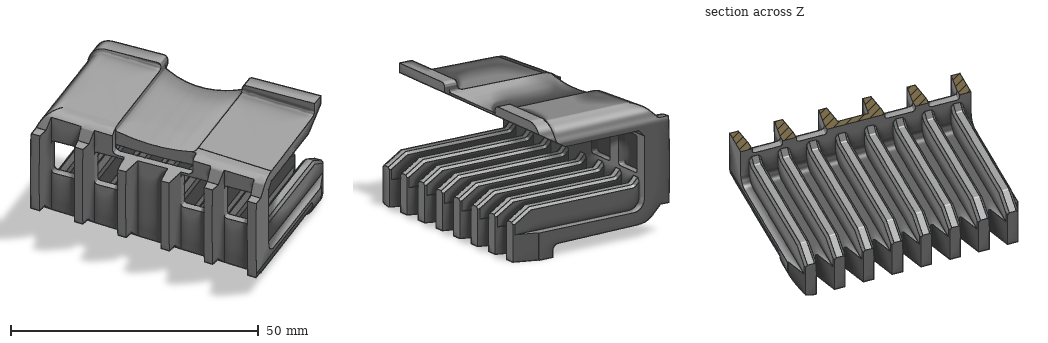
import cadquery as cq
import math

WIDTH = 50.0
DEPTH = 37.1
HEIGHT = 28.45
MID_X = WIDTH / 2
MID_Z = HEIGHT / 2
OVER = 2.5

WALL_OUTER_Y = 4.6
WALL_INNER_Y = 6.2
PLATE_TOP_Z = 5.8
PLATE_FILLET = 2.6
JAW_UNDER_Z = 22.95
JAW_CHAMFER = 1.35
LIP_BACK_Y = 28.65
LIP_TIP_Y = 31.7
LIP_TIP_Z = 26.45
LIP_ANGLE = math.radians(30)
CROWN_RISE = 0.45
EDGE_RADIUS = 4.0

SKIN_RADIUS = 4.15
SKIN_LEFT_X = SKIN_RADIUS
SKIN_LIP_Z = (27.7, 25.7)
SKIN_BACK_Z = (27.85, 25.35)
SKIN_FILLET = 1.3
BACK_CORNER_Y = (5.85, 5.55)
BACK_TANGENT = 2.0
RIB_TOP_Z = (24.8, 22.05)

BACK_RIB_COUNT = 6
BACK_RIB_INSET = 1.05
BACK_RIB_PITCH = (WIDTH - 2 * BACK_RIB_INSET) / (BACK_RIB_COUNT - 1)
BACK_RIB_ROOT = 3.0
BACK_RIB_TIP = 1.8
WINDOW_BOTTOM_Z = 13.05
WINDOW_TOP_Z = 21.0
WINDOW_RADIUS = 0.65
WINDOW_GAPS = (0, 1, 3, 4)

SCOOP_WIDTH = 17.85
SCOOP_EDGE_Z = 26.1
SCOOP_MID_Z = 25.15
SCOOP_FILLET = 0.65
SCOOP_BELLY = 0.35
LIP_END_RADIUS = 1.0
NOSE_SIDE_Y = 30.5
NOSE_MID_Y = 28.65
NOTCH_BOTTOM_Z = 21.55
NOTCH_FILLET = 1.25

TOOTH_COUNT = 8
TOOTH_PITCH = WIDTH / TOOTH_COUNT
TOOTH_TIP_WIDTH = 2.3
TOOTH_ROOT_Y = 32.0
TOOTH_ROOT_GAP = 0.4
JAW_RIB_WIDTH = 2.6
JAW_RIB_TOP_Z = 10.9
JAW_RIB_CHAMFER = 0.55
JAW_RIB_BEND = 0.85
JAW_RIB_NOSE_Y = 32.9
JAW_RIB_NOSE_Z = 8.4

ARC_MID = 1 - math.sqrt(0.5)
LEAD_IN_END_Y = LIP_TIP_Y - (LIP_TIP_Z - JAW_UNDER_Z) / math.tan(LIP_ANGLE)
SCOOP_LEFT_X = MID_X - SCOOP_WIDTH / 2
SCOOP_RIGHT_X = MID_X + SCOOP_WIDTH / 2


def half_turn(solid):
    """Copy turned 180 degrees about the front-to-back centre line."""
    return solid.rotate((MID_X, 0, MID_Z), (MID_X, 1, MID_Z), 180)


def yz_plane(x):
    """Workplane in Y and Z at the given x."""
    return cq.Workplane("YZ", origin=(x, 0, 0))


def prism_along_y(outline, start_y, end_y):
    """Extrude a closed XZ outline from start_y to end_y."""
    return outline.extrude(end_y - start_y).translate((0, end_y, 0))


def line_through(x, first, second):
    """Value at x on the line through two (x, value) points."""
    slope = (second[1] - first[1]) / (second[0] - first[0])
    return first[1] + slope * (x - first[0])


def make_body():
    """C-shaped block with crowned back and two opposite rounded edges."""
    fillet_mid = PLATE_FILLET * ARC_MID
    profile = (
        yz_plane(0)
        .moveTo(CROWN_RISE, 0)
        .lineTo(DEPTH, 0)
        .lineTo(DEPTH, PLATE_TOP_Z)
        .lineTo(WALL_INNER_Y + PLATE_FILLET, PLATE_TOP_Z)
        .threePointArc(
            (WALL_INNER_Y + fillet_mid, PLATE_TOP_Z + fillet_mid),
            (WALL_INNER_Y, PLATE_TOP_Z + PLATE_FILLET),
        )
        .lineTo(WALL_INNER_Y, JAW_UNDER_Z - JAW_CHAMFER)
        .lineTo(WALL_INNER_Y + JAW_CHAMFER, JAW_UNDER_Z)
        .lineTo(LEAD_IN_END_Y, JAW_UNDER_Z)
        .lineTo(LIP_TIP_Y, LIP_TIP_Z)
        .lineTo(LIP_TIP_Y, HEIGHT)
        .lineTo(CROWN_RISE, HEIGHT)
        .threePointArc((0, MID_Z), (CROWN_RISE, 0))
        .close()
        .extrude(WIDTH)
    )
    rounded = (
        cq.Workplane("XY")
        .box(WIDTH, DEPTH, HEIGHT, centered=False)
        .edges("(<X and >Z) or (>X and <Z)")
        .fillet(EDGE_RADIUS)
    )
    return profile.intersect(rounded)


def skin_section(x, lip_z, back_z, corner_y):
    """Closed YZ wire around the space above the skin, from the lip fillet past the back."""
    flat_end_y = LIP_BACK_Y - SKIN_FILLET
    back_z = line_through(-OVER, (flat_end_y, lip_z), (corner_y, back_z))
    fillet_mid = SKIN_FILLET * ARC_MID
    top_z = HEIGHT + OVER
    return (
        yz_plane(x)
        .moveTo(-OVER, back_z)
        .lineTo(flat_end_y, lip_z)
        .threePointArc(
            (LIP_BACK_Y - fillet_mid, lip_z + fillet_mid),
            (LIP_BACK_Y, lip_z + SKIN_FILLET),
        )
        .lineTo(LIP_BACK_Y, top_z)
        .lineTo(-OVER, top_z)
        .close()
    )


def ruled_loft(first, second):
    """Straight-sided solid between two section wires."""
    wires = [first.wire().val(), second.wire().val()]
    return cq.Workplane(cq.Solid.makeLoft(wires, True))


def make_skin_cutters():
    """Space above the flat skin and around its rounded left edge."""
    left = (SKIN_LEFT_X, SKIN_LIP_Z[0], SKIN_BACK_Z[0], BACK_CORNER_Y[0])
    right = (WIDTH, SKIN_LIP_Z[1], SKIN_BACK_Z[1], BACK_CORNER_Y[1])
    flat = ruled_loft(skin_section(*left), skin_section(*right))
    edge = skin_section(*left).revolve(
        90,
        (LIP_BACK_Y - SKIN_FILLET, SKIN_LIP_Z[0] - SKIN_RADIUS),
        (BACK_CORNER_Y[0], SKIN_BACK_Z[0] - SKIN_RADIUS),
    )
    return flat, edge


def back_corner_section(x, corner_y, rib_z):
    """Closed YZ wire around the space outside the rounded, chamfered back corner."""
    skin_z = line_through(x, (SKIN_LEFT_X, SKIN_BACK_Z[0]), (WIDTH, SKIN_BACK_Z[1]))
    half_bend = math.pi / 8
    radius = BACK_TANGENT / math.tan(half_bend)
    start_y = corner_y + BACK_TANGENT
    leg = BACK_TANGENT * math.sqrt(0.5)
    arc_mid = (
        start_y - radius * math.sin(half_bend),
        skin_z - radius * (1 - math.cos(half_bend)),
    )
    top_z = HEIGHT + OVER
    return (
        yz_plane(x)
        .moveTo(start_y, skin_z)
        .threePointArc(arc_mid, (corner_y - leg, skin_z - leg))
        .lineTo(corner_y - (skin_z - rib_z), rib_z)
        .lineTo(-OVER, rib_z)
        .lineTo(-OVER, top_z)
        .lineTo(start_y, top_z)
        .close()
    )


def shape_outside(body):
    """Cut both sloping skins and both back corners."""
    flat, edge = make_skin_cutters()
    corner = ruled_loft(
        back_corner_section(0, BACK_CORNER_Y[0], RIB_TOP_Z[0]),
        back_corner_section(WIDTH, BACK_CORNER_Y[1], RIB_TOP_Z[1]),
    )
    for cutter in (flat, edge, corner):
        body = body.cut(cutter).cut(half_turn(cutter))
    return body


def back_rib_x(index):
    """Centre of a back rib across the width."""
    return BACK_RIB_INSET + index * BACK_RIB_PITCH


def cut_back_gaps(body):
    """Tapered gaps that leave the back ribs, some with a window through the wall."""
    gap_root = BACK_RIB_PITCH - BACK_RIB_ROOT
    gap_mouth = BACK_RIB_PITCH - BACK_RIB_TIP
    for index in range(BACK_RIB_COUNT - 1):
        gap_x = back_rib_x(index) + BACK_RIB_PITCH / 2
        gap = (
            cq.Workplane("XY")
            .polyline([
                (gap_x - gap_mouth / 2, 0),
                (gap_x + gap_mouth / 2, 0),
                (gap_x + gap_root / 2, WALL_OUTER_Y),
                (gap_x - gap_root / 2, WALL_OUTER_Y),
            ])
            .close()
            .extrude(HEIGHT)
        )
        body = body.cut(gap)
        if index in WINDOW_GAPS:
            window = (
                cq.Workplane("XY")
                .box(gap_root, WALL_INNER_Y, WINDOW_TOP_Z - WINDOW_BOTTOM_Z)
                .edges("|Y")
                .fillet(WINDOW_RADIUS)
                .translate((gap_x, WALL_INNER_Y / 2, (WINDOW_BOTTOM_Z + WINDOW_TOP_Z) / 2))
            )
            body = body.cut(window)
    return body


def cut_scoop(body):
    """Shallow cylindrical scoop through the upper jaw and lip, with a blunt curved front edge."""
    top_z = HEIGHT + OVER
    fillet_mid = SCOOP_FILLET * ARC_MID
    outline = (
        cq.Workplane("XZ")
        .moveTo(SCOOP_LEFT_X, top_z)
        .lineTo(SCOOP_LEFT_X, SCOOP_EDGE_Z + SCOOP_FILLET)
        .threePointArc(
            (SCOOP_LEFT_X + fillet_mid, SCOOP_EDGE_Z + fillet_mid),
            (SCOOP_LEFT_X + SCOOP_FILLET, SCOOP_EDGE_Z),
        )
        .threePointArc((MID_X, SCOOP_MID_Z), (SCOOP_RIGHT_X - SCOOP_FILLET, SCOOP_EDGE_Z))
        .threePointArc(
            (SCOOP_RIGHT_X - fillet_mid, SCOOP_EDGE_Z + fillet_mid),
            (SCOOP_RIGHT_X, SCOOP_EDGE_Z + SCOOP_FILLET),
        )
        .lineTo(SCOOP_RIGHT_X, top_z)
        .close()
    )
    body = body.cut(prism_along_y(outline, WALL_INNER_Y, DEPTH))
    nose = (
        cq.Workplane("XY", origin=(0, 0, JAW_UNDER_Z))
        .moveTo(SCOOP_LEFT_X, DEPTH)
        .lineTo(SCOOP_LEFT_X, NOSE_SIDE_Y)
        .threePointArc((MID_X, NOSE_MID_Y), (SCOOP_RIGHT_X, NOSE_SIDE_Y))
        .lineTo(SCOOP_RIGHT_X, DEPTH)
        .close()
        .extrude(HEIGHT - JAW_UNDER_Z)
    )
    body = body.cut(nose)
    lip_ends = cq.selectors.BoxSelector(
        (SCOOP_LEFT_X - 0.5, LIP_BACK_Y - 0.5, HEIGHT - 0.5),
        (SCOOP_RIGHT_X + 0.5, LIP_TIP_Y + 0.5, HEIGHT + 0.5),
    )
    return body.edges("|Y").edges(lip_ends).fillet(LIP_END_RADIUS)


def cut_wall_notch(body):
    """Open the wall behind the scoop, down to the notch floor."""
    notch_top = HEIGHT + OVER
    notch = (
        cq.Workplane("XY")
        .box(SCOOP_WIDTH, WALL_INNER_Y, notch_top - NOTCH_BOTTOM_Z)
        .edges("|Y and <Z")
        .fillet(NOTCH_FILLET)
        .translate((MID_X, WALL_INNER_Y / 2, (NOTCH_BOTTOM_Z + notch_top) / 2))
    )
    chamfer_clearance = (
        cq.Workplane("XY")
        .box(SCOOP_WIDTH, JAW_CHAMFER, JAW_UNDER_Z - NOTCH_BOTTOM_Z)
        .translate((
            MID_X,
            WALL_INNER_Y + JAW_CHAMFER / 2,
            (JAW_UNDER_Z + NOTCH_BOTTOM_Z) / 2,
        ))
    )
    return body.cut(notch).cut(chamfer_clearance)


def add_scoop_belly(body):
    """Curved thickening of the jaw underside below the scoop."""
    belly_z = JAW_UNDER_Z - SCOOP_BELLY
    outline = (
        cq.Workplane("XZ")
        .moveTo(SCOOP_LEFT_X, JAW_UNDER_Z)
        .threePointArc((MID_X, belly_z), (SCOOP_RIGHT_X, JAW_UNDER_Z))
        .close()
    )
    belly = prism_along_y(outline, WALL_INNER_Y, LEAD_IN_END_Y)
    lead_in = (
        yz_plane(0)
        .polyline([
            (LEAD_IN_END_Y, JAW_UNDER_Z),
            (LEAD_IN_END_Y, belly_z),
            (LEAD_IN_END_Y - SCOOP_BELLY / math.tan(LIP_ANGLE), belly_z),
        ])
        .close()
        .extrude(WIDTH)
    )
    return body.union(belly.cut(lead_in))


def make_jaw_rib():
    """Rib on the lower jaw with chamfered long edges and a gusset at the wall, centred on x = 0."""
    gusset_y = WALL_INNER_Y + JAW_CHAMFER
    top_bends = cq.selectors.BoxSelector(
        (-0.5, gusset_y - 0.5, JAW_RIB_TOP_Z - 0.5), (0.5, JAW_RIB_NOSE_Y + 0.5, JAW_RIB_TOP_Z + 0.5)
    )
    top_edges = cq.selectors.BoxSelector(
        (-JAW_RIB_WIDTH, WALL_INNER_Y + 0.5, JAW_RIB_NOSE_Z + 0.5), (JAW_RIB_WIDTH, DEPTH, HEIGHT)
    )
    return (
        yz_plane(-JAW_RIB_WIDTH / 2)
        .polyline([
            (WALL_INNER_Y, PLATE_TOP_Z),
            (DEPTH, PLATE_TOP_Z),
            (DEPTH, JAW_RIB_NOSE_Z),
            (JAW_RIB_NOSE_Y, JAW_RIB_TOP_Z),
            (gusset_y, JAW_RIB_TOP_Z),
            (WALL_INNER_Y, JAW_RIB_TOP_Z + JAW_CHAMFER),
        ])
        .close()
        .extrude(JAW_RIB_WIDTH)
        .edges(top_bends)
        .fillet(JAW_RIB_BEND)
        .edges(top_edges)
        .edges("#X")
        .chamfer(JAW_RIB_CHAMFER)
    )


def add_jaw_ribs(body):
    """One rib in line with each tooth."""
    rib = make_jaw_rib()
    for index in range(TOOTH_COUNT):
        body = body.union(rib.translate(((index + 0.5) * TOOTH_PITCH, 0, 0)))
    return body


def cut_teeth(body):
    """V gaps that split the end of the lower jaw into pointed teeth."""
    mouth = TOOTH_PITCH - TOOTH_TIP_WIDTH
    for index in range(TOOTH_COUNT + 1):
        gap_x = index * TOOTH_PITCH
        gap = (
            cq.Workplane("XY")
            .polyline([
                (gap_x - TOOTH_ROOT_GAP / 2, TOOTH_ROOT_Y),
                (gap_x + TOOTH_ROOT_GAP / 2, TOOTH_ROOT_Y),
                (gap_x + mouth / 2, DEPTH),
                (gap_x - mouth / 2, DEPTH),
            ])
            .close()
            .extrude(JAW_RIB_TOP_Z)
        )
        body = body.cut(gap)
    return body


result = make_body()
result = shape_outside(result)
result = cut_back_gaps(result)
result = cut_scoop(result)
result = cut_wall_notch(result)
result = add_scoop_belly(result)
result = add_jaw_ribs(result)
result = cut_teeth(result)